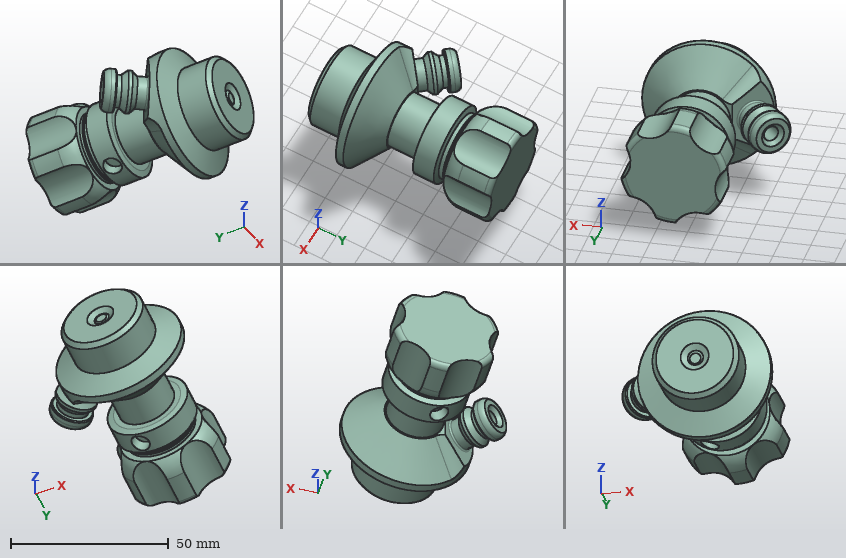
import cadquery as cq
import math

overall_length = 67.3

coupling_radius = 28.0 / 2
coupling_chamfer = 1.5
coupling_length = 12.0

flange_radius = 43.0 / 2
rim_start = 15.0
rim_end = 17.7
rear_cone_end = 27.05
rear_cone_top_radius = 20.0 / 2

stem_radius = 19.0 / 2
collar_radius = 27.5 / 2
collar_start = 38.1
collar_end = 46.8
collar_chamfer_length = 0.55
neck_radius = 23.0 / 2
neck_end = 48.9
neck_chamfer_length = 0.6
neck_chamfer_depth = 0.3

knob_shoulder_radius = 23.6 / 2
knob_start = 49.9
knob_radius = 17.5
knob_front_radius = 14.0
knob_dome_length = 6.0
knob_dome_radius = 8.75
knob_fillet = 1.9
flute_count = 6
flute_radius = 8.75
flute_first_angle = 8.0

recess_diameter = 9.1
recess_depth = 1.2
pin_diameter = 5.0
pin_tip_diameter = 3.6
pin_tip_depth = 0.6
pin_tip_shift_x = 0.1
pin_tip_shift_z = -0.5

collar_hole_diameter = 6.05
collar_hole_angle = 253.0
collar_hole_depth = 4.05

pad_half_angle = 48.0
pad_flank_radius = 8.1

barb_length = 14.3
barb_root = -1.35
barb_ridge_foot = 3.6
barb_ridge_start = 5.3
barb_ridge_end = 6.5
barb_ridge_top = 8.55
barb_head_start = 10.2
barb_neck_radius = 10.5 / 2
barb_ridge_radius = 6.85
barb_head_radius = 14.0 / 2
barb_head_arc_length = 2.15
barb_head_arc_radius = 2.6
barb_head_chamfer = 0.4
barb_tip_radius = 5.85
barb_base_fillet = 0.55
barb_bore_diameter = 5.0
barb_bore_mouth_diameter = 7.8

cone_angle = math.atan2(rear_cone_end - rim_end, flange_radius - rear_cone_top_radius)
cone_apex_y = rim_end + flange_radius * math.tan(cone_angle)
barb_base_x = -(flange_radius + rear_cone_top_radius) / 2
barb_base_y = (rim_end + rear_cone_end) / 2


def disc(radius, start, end):
    """Cylinder on the main axis between two Y stations."""
    plane = cq.Plane(origin=(0, start, 0), xDir=(1, 0, 0), normal=(0, 1, 0))
    return cq.Workplane(plane).circle(radius).extrude(end - start)


def make_body():
    """Turned body from the coupling face to the neck behind the collar."""
    points = [
        (0, 0),
        (coupling_radius - coupling_chamfer, 0),
        (coupling_radius, coupling_chamfer),
        (coupling_radius, coupling_length),
        (flange_radius, rim_start),
        (flange_radius, rim_end),
        (rear_cone_top_radius, rear_cone_end),
        (stem_radius, rear_cone_end),
        (stem_radius, collar_start),
        (neck_radius, collar_start),
        (collar_radius, collar_start + collar_chamfer_length),
        (collar_radius, collar_end - collar_chamfer_length),
        (neck_radius, collar_end),
        (neck_radius, neck_end - neck_chamfer_length),
        (neck_radius - neck_chamfer_depth, neck_end),
        (0, neck_end),
    ]
    return cq.Workplane("XY").polyline(points).close().revolve(360, (0, 0, 0), (0, 1, 0))


def make_knob():
    """Domed knob with scooped flutes parallel to the main axis, on a short round shoulder."""
    dome_end = knob_start + knob_dome_length
    knob = (
        cq.Workplane("XY")
        .moveTo(0, knob_start)
        .lineTo(knob_front_radius, knob_start)
        .radiusArc((knob_radius, dome_end), -knob_dome_radius)
        .lineTo(knob_radius, overall_length - knob_fillet)
        .radiusArc((knob_radius - knob_fillet, overall_length), -knob_fillet)
        .lineTo(0, overall_length)
        .close()
        .revolve(360, (0, 0, 0), (0, 1, 0))
    )
    flute_distance = knob_front_radius + flute_radius
    for index in range(flute_count):
        angle = math.radians(flute_first_angle + index * 360 / flute_count)
        flute = disc(flute_radius, knob_start, overall_length).translate(
            (flute_distance * math.cos(angle), 0, flute_distance * math.sin(angle))
        )
        knob = knob.cut(flute)
    return knob.union(disc(knob_shoulder_radius, neck_end, knob_start))


def make_pad():
    """Flat tangent to the rear cone on -X, with concave flanks running out onto the cone."""
    side = 2 * flange_radius
    slope_end_x = -(cone_apex_y - rear_cone_end) / math.tan(cone_angle)
    profile = [
        (0, rim_end),
        (-flange_radius, rim_end),
        (slope_end_x, rear_cone_end),
        (0, rear_cone_end),
    ]
    pad = cq.Workplane("XY").polyline(profile).close().extrude(side / 2, both=True)
    pad = pad.intersect(disc(flange_radius, rim_end, rear_cone_end))

    half_angle = math.radians(pad_half_angle)
    sector_z = side * math.tan(half_angle)
    sector = (
        cq.Workplane("XZ")
        .polyline([(0, 0), (-side, sector_z), (-side, -sector_z)])
        .close()
        .extrude(-overall_length)
    )
    pad = pad.intersect(sector)

    for side_sign in (1, -1):
        outward = (-math.cos(half_angle), side_sign * math.sin(half_angle))
        generator = cq.Vector(
            math.cos(cone_angle) * outward[0], -math.sin(cone_angle), math.cos(cone_angle) * outward[1]
        )
        cone_normal = cq.Vector(
            math.sin(cone_angle) * outward[0], math.cos(cone_angle), math.sin(cone_angle) * outward[1]
        )
        start = cq.Vector(0, cone_apex_y, 0) + cone_normal * pad_flank_radius
        flank = cq.Solid.makeCylinder(pad_flank_radius, side, start, generator)
        pad = pad.cut(cq.Workplane(flank))
    return pad


barb_direction = cq.Vector(-math.sin(cone_angle), math.cos(cone_angle), 0)
barb_radial = cq.Vector(math.cos(cone_angle), math.sin(cone_angle), 0)
barb_base = cq.Vector(barb_base_x, barb_base_y, 0)
barb_plane = cq.Plane(origin=barb_base, xDir=barb_radial, normal=barb_radial.cross(barb_direction))


def make_barb():
    """Hose barb square to the pad, with one ridge and a rounded head."""
    return (
        cq.Workplane(barb_plane)
        .moveTo(0, barb_root)
        .lineTo(barb_neck_radius + barb_base_fillet, barb_root)
        .lineTo(barb_neck_radius + barb_base_fillet, 0)
        .radiusArc((barb_neck_radius, barb_base_fillet), barb_base_fillet)
        .lineTo(barb_neck_radius, barb_ridge_foot)
        .lineTo(barb_ridge_radius, barb_ridge_start)
        .lineTo(barb_ridge_radius, barb_ridge_end)
        .lineTo(barb_neck_radius, barb_ridge_top)
        .lineTo(barb_neck_radius, barb_head_start)
        .lineTo(barb_head_radius - barb_head_chamfer, barb_head_start)
        .lineTo(barb_head_radius, barb_head_start + barb_head_chamfer)
        .lineTo(barb_head_radius, barb_length - barb_head_arc_length)
        .radiusArc((barb_tip_radius, barb_length), -barb_head_arc_radius)
        .lineTo(0, barb_length)
        .close()
        .revolve(360, (0, 0, 0), (0, 1, 0))
    )


def make_barb_bore():
    """Blind bore along the barb with a 45 degree countersunk mouth."""
    bore_radius = barb_bore_diameter / 2
    mouth_radius = barb_bore_mouth_diameter / 2
    countersink_depth = mouth_radius - bore_radius
    profile = [
        (0, 0),
        (bore_radius, 0),
        (bore_radius, barb_length - countersink_depth),
        (mouth_radius, barb_length),
        (0, barb_length),
    ]
    return cq.Workplane(barb_plane).polyline(profile).close().revolve(360, (0, 0, 0), (0, 1, 0))


def make_recess():
    """Conical recess in the coupling face."""
    profile = [(0, 0), (recess_diameter / 2, 0), (pin_diameter / 2, recess_depth), (0, recess_depth)]
    return cq.Workplane("XY").polyline(profile).close().revolve(360, (0, 0, 0), (0, 1, 0))


def make_pin():
    """Tapered pin tip rising off-centre from the bottom of the recess."""
    base = cq.Workplane("XZ", origin=(0, recess_depth, 0)).circle(pin_diameter / 2)
    tip = base.workplane(offset=recess_depth - pin_tip_depth).center(pin_tip_shift_x, pin_tip_shift_z)
    return tip.circle(pin_tip_diameter / 2).loft(combine=True)


def make_collar_hole():
    """Blind radial hole in the side of the collar."""
    angle = math.radians(collar_hole_angle)
    middle_y = (collar_start + collar_end) / 2
    outward = cq.Vector(math.cos(angle), 0, math.sin(angle))
    start = outward * (collar_radius - collar_hole_depth) + cq.Vector(0, middle_y, 0)
    return cq.Workplane(
        cq.Solid.makeCylinder(collar_hole_diameter / 2, 2 * collar_hole_depth, start, outward)
    )


result = make_body().union(make_pad()).union(make_barb()).union(make_knob())
result = result.cut(make_recess()).union(make_pin())
result = result.cut(make_barb_bore()).cut(make_collar_hole())